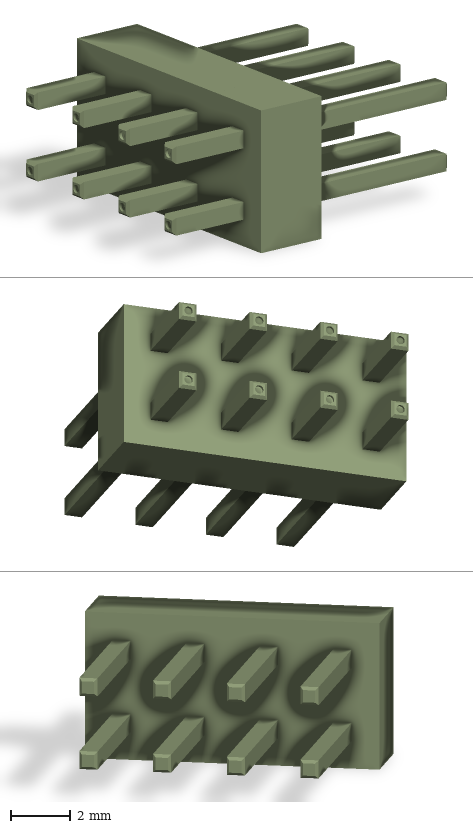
import cadquery as cq

columns = 4
rows = 2
total_length = 11.8
header_width = 10.16
pitch = header_width / columns

block_depth = 2.6
front_reach = 3.0

pin_side = 0.63
tip_chamfer = 0.1
dimple_diameter = 0.3
dimple_depth = 0.1

pin_front_y = -total_length / 2
block_front_y = pin_front_y + front_reach


def bar_along_y(side, length, front_y):
    """Square bar centred on the Y axis, with its front face at front_y."""
    centre_y = front_y + length / 2
    return cq.Workplane("XY").box(side, length, side).translate((0, centre_y, 0))


def make_pin():
    """Square pin with both tips chamfered and a round dimple in the front tip."""
    bar = bar_along_y(pin_side, total_length, pin_front_y)
    chamfered = bar.faces("<Y or >Y").edges().chamfer(tip_chamfer)
    front_tip = chamfered.faces("<Y").workplane(centerOption="CenterOfBoundBox")
    return front_tip.hole(dimple_diameter, dimple_depth)


def make_contact_module():
    """One insulator block and its pin, formed as a single solid."""
    block = bar_along_y(pitch, block_depth, block_front_y)
    return block.union(make_pin())


def grid_offset(index, count):
    """Position of one cell in a line of count cells centred on the origin."""
    return (index - (count - 1) / 2) * pitch


contact_modules = []
for row in range(rows):
    for column in range(columns):
        place = (grid_offset(column, columns), 0, grid_offset(row, rows))
        contact_modules.append(make_contact_module().translate(place).val())

result = cq.Compound.makeCompound(contact_modules)